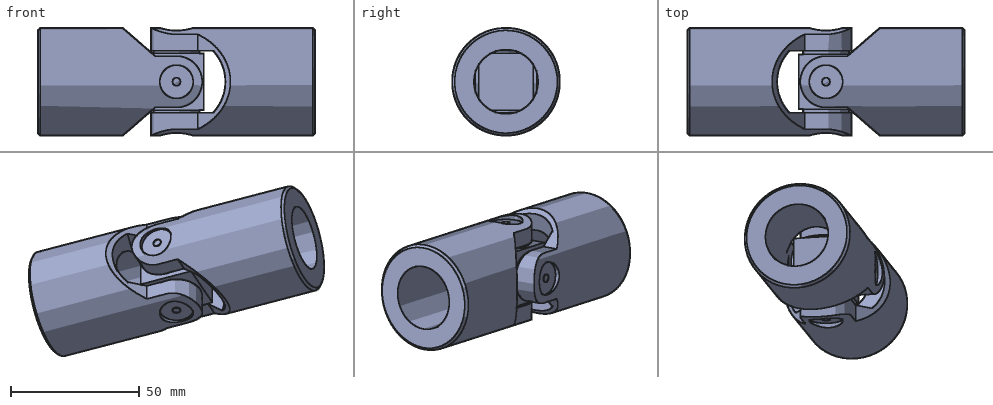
import cadquery as cq
import math


joint_length = 108.0
body_diameter = 42.0
bore_diameter = 25.0
end_chamfer = 1.0
ear_width = 20.0
ear_flat_end = 8.3
slot_width = 24.0
floor_centre = 3.6
floor_mid_radius = 18.55
floor_rim_radius = 15.1

block_side = 21.3
block_height = 22.0
collar_diameter = 18.0
pin_diameter = 13.0
pin_span = 38.4
nub_diameter = 3.12
nub_rim_height = 0.3
nub_crown_height = 0.3

half_length = joint_length / 2
body_radius = body_diameter / 2
ear_radius = ear_width / 2
shoulder_end = body_radius
bore_end = floor_centre + math.sqrt(floor_rim_radius**2 - (slot_width / 2) ** 2)
pin_end = pin_span / 2

ORIGIN = (0, 0, 0)
X_AXIS = (1, 0, 0)
Z_AXIS = (0, 0, 1)


def ear_envelope():
    """Rounded ear that flares into the full body width, extruded along Z."""
    return (
        cq.Workplane("XY")
        .moveTo(0, ear_radius)
        .threePointArc((-ear_radius, 0), (0, -ear_radius))
        .lineTo(ear_flat_end, -ear_radius)
        .lineTo(shoulder_end, -body_radius)
        .lineTo(half_length, -body_radius)
        .lineTo(half_length, body_radius)
        .lineTo(shoulder_end, body_radius)
        .lineTo(ear_flat_end, ear_radius)
        .close()
        .extrude(body_radius, both=True)
    )


def fork_slot():
    """Gap between the ears, ending in a round floor that tapers from the middle to both sides."""
    drum = (
        cq.Workplane("XY")
        .moveTo(floor_centre, body_radius)
        .lineTo(floor_centre + floor_rim_radius, body_radius)
        .lineTo(floor_centre + floor_mid_radius, 0)
        .lineTo(floor_centre + floor_rim_radius, -body_radius)
        .lineTo(floor_centre, -body_radius)
        .close()
        .revolve(360, (floor_centre, 0, 0), (floor_centre, 1, 0))
    )
    slab = cq.Workplane("XY").box(joint_length, body_diameter, slot_width)
    mouth = (
        cq.Workplane("XY", origin=(-ear_radius, 0, 0))
        .box(ear_radius + floor_centre, body_diameter, slot_width, centered=(False, True, True))
    )
    return drum.intersect(slab).union(mouth)


def make_yoke():
    """Yoke with its ears above and below the centre and its shaft end toward +X."""
    barrel = (
        cq.Workplane("YZ", origin=(-ear_radius, 0, 0))
        .circle(body_radius)
        .extrude(ear_radius + half_length)
        .faces(">X")
        .chamfer(end_chamfer)
    )
    shaft_bore = (
        cq.Workplane("YZ", origin=(bore_end, 0, 0))
        .circle(bore_diameter / 2)
        .extrude(half_length - bore_end)
    )
    pin_hole = cq.Workplane("XY").circle(pin_diameter / 2).extrude(body_radius, both=True)
    return barrel.intersect(ear_envelope()).cut(fork_slot()).cut(shaft_bore).cut(pin_hole)


def nub():
    """Short round button with a domed top, centred on the end of the +Z pin."""
    rim_radius = nub_diameter / 2
    dome_radius = (rim_radius**2 + nub_crown_height**2) / (2 * nub_crown_height)
    nub_top = pin_end + nub_rim_height + nub_crown_height
    dome = cq.Workplane("XY", origin=(0, 0, nub_top - dome_radius)).sphere(dome_radius)
    blank = cq.Workplane("XY", origin=(0, 0, pin_end)).circle(rim_radius).extrude(nub_top - pin_end)
    return blank.intersect(dome)


def make_cross():
    """Block with a collared pin on each side along Y and Z."""
    collar = cq.Workplane("XY").circle(collar_diameter / 2).extrude(slot_width / 2)
    pin = cq.Workplane("XY").circle(pin_diameter / 2).extrude(pin_end)
    arm = collar.union(pin).union(nub())
    cross = cq.Workplane("XY").box(block_side, block_side, block_height)
    for angle in (0, 90, 180, 270):
        cross = cross.union(arm.rotate(ORIGIN, X_AXIS, angle))
    return cross


right_yoke = make_yoke()
left_yoke = right_yoke.rotate(ORIGIN, Z_AXIS, 180).rotate(ORIGIN, X_AXIS, 90)
cross = make_cross()

result = cq.Compound.makeCompound([right_yoke.val(), left_yoke.val(), cross.val()])